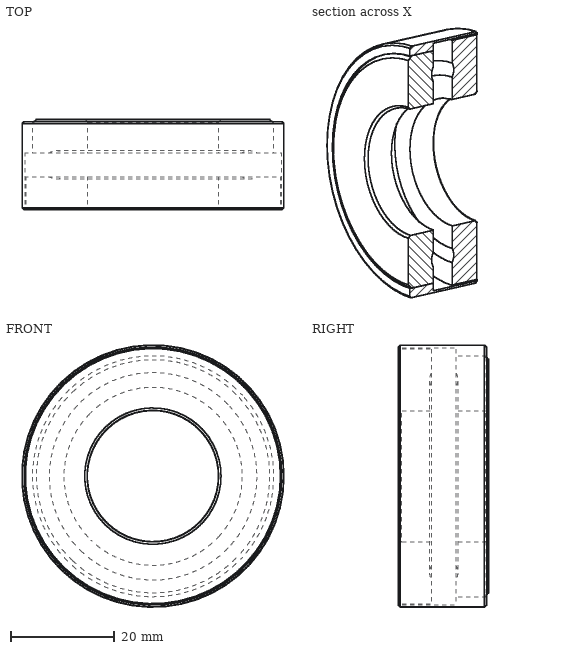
import cadquery as cq
import math

width = 17.5
shell_radius = 25.4
bore_radius = 12.7
bore_chamfer = 0.5

shell_clearance_radius = 24.9
seat_radius = 23.35
shell_rear_recess = 0.4
shell_chamfer = 0.4

washer_thickness = 6.4
front_washer_radius = 24.715
rear_washer_chamfer = 0.75
raceway_inner_radius = 17.25
raceway_half_width = 1.4

front_y = -width / 2
rear_y = width / 2
land_y = rear_y - washer_thickness
raceway_center_radius = raceway_inner_radius + raceway_half_width
raceway_outer_radius = raceway_center_radius + raceway_half_width
raceway_arc_radius = math.hypot(raceway_half_width, land_y)


def revolve_about_y(profile):
    """Turn a closed profile of (radius, Y) points about the Y axis."""
    return profile.close().revolve(360, (0, 0, 0), (0, 1, 0))


def make_shell():
    end_y = rear_y - shell_rear_recess
    rim_radius = shell_radius - shell_chamfer
    profile = (
        cq.Workplane("XY")
        .moveTo(shell_clearance_radius, front_y)
        .lineTo(rim_radius, front_y)
        .lineTo(shell_radius, front_y + shell_chamfer)
        .lineTo(shell_radius, end_y - shell_chamfer)
        .lineTo(rim_radius, end_y)
        .lineTo(seat_radius, end_y)
        .lineTo(seat_radius, land_y)
        .lineTo(shell_clearance_radius, land_y)
    )
    return revolve_about_y(profile)


def make_washer(outer_radius):
    """Washer with a raceway in its inner land; its outer face is at the rear."""
    profile = (
        cq.Workplane("XY")
        .moveTo(bore_radius, land_y)
        .lineTo(raceway_inner_radius, land_y)
        .threePointArc((raceway_center_radius, raceway_arc_radius), (raceway_outer_radius, land_y))
        .lineTo(outer_radius, land_y)
        .lineTo(outer_radius, rear_y)
        .lineTo(bore_radius + bore_chamfer, rear_y)
        .lineTo(bore_radius, rear_y - bore_chamfer)
    )
    return revolve_about_y(profile)


shell = make_shell()
rear_washer = make_washer(seat_radius)
rear_washer = rear_washer.faces(">Y").edges(cq.selectors.RadiusNthSelector(-1)).chamfer(rear_washer_chamfer)
front_washer = make_washer(front_washer_radius).mirror("XZ")

result = cq.Compound.makeCompound([shell.val(), rear_washer.val(), front_washer.val()])